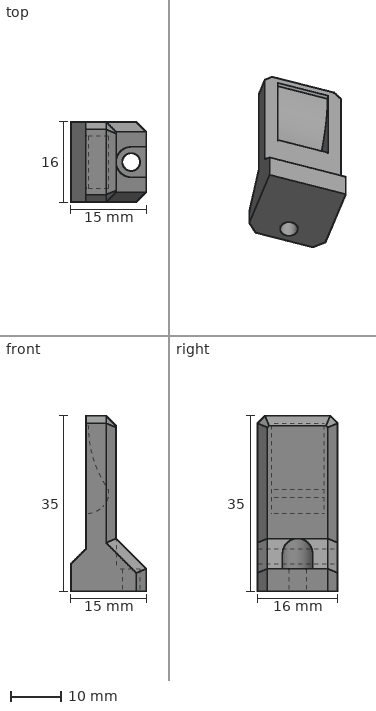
import cadquery as cq
import math

length = 15.0
width = 16.0
height = 35.0

stem_front = 3.0
stem_back = 9.0
base_front_height = 5.5
base_back_height = 4.5
front_shoulder_height = base_front_height + stem_front
back_shoulder_height = base_back_height + length - stem_back

top_corner_chamfer = 1.5
back_chamfer = 2.0

pocket_width = 10.5
pocket_depth = 4.4
pocket_top = 33.5
pocket_bottom = 15.55
lip_depth = 0.42
lip_bottom = 33.0
pocket_floor_top = 20.3
pocket_floor_bottom = 18.8

screw_x = 12.0
screw_diameter = 3.5
seat_radius = 3.0

edge_margin = 0.05


def make_body():
    """Extruded side profile with chamfered top corners."""
    profile = [
        (0, 0),
        (length, 0),
        (length, base_back_height),
        (stem_back, back_shoulder_height),
        (stem_back, height),
        (stem_front, height),
        (stem_front, front_shoulder_height),
        (0, base_front_height),
    ]
    body = cq.Workplane("XZ").polyline(profile).close().extrude(width / 2, both=True)
    return body.faces(">Z").edges("|X").chamfer(top_corner_chamfer)


def chamfer_back(body):
    """Chamfer the sides of the back outline and the top back edge."""
    x_min = stem_back - edge_margin
    x_max = length + edge_margin
    z_max = height + edge_margin
    y_inner = width / 2 - top_corner_chamfer
    y_outer = width / 2 + edge_margin
    left_edges = cq.selectors.BoxSelector((x_min, y_inner, edge_margin), (x_max, y_outer, z_max))
    right_edges = cq.selectors.BoxSelector((x_min, -y_outer, edge_margin), (x_max, -y_inner, z_max))
    top_edge = cq.selectors.BoxSelector(
        (x_min, -edge_margin, height - edge_margin), (stem_back + edge_margin, edge_margin, z_max)
    )
    return body.edges(left_edges + right_edges + top_edge).chamfer(back_chamfer)


def arc_middle(start, end, direction):
    """Midpoint of the arc from start to end that leaves start along a unit direction."""
    chord_x = end[0] - start[0]
    chord_z = end[1] - start[1]
    chord = math.hypot(chord_x, chord_z)
    half_turn = math.atan2(direction[0] * chord_z - direction[1] * chord_x,
                           direction[0] * chord_x + direction[1] * chord_z)
    rise = chord / 2 * math.tan(half_turn / 2)
    middle_x = (start[0] + end[0]) / 2 + rise * chord_z / chord
    middle_z = (start[1] + end[1]) / 2 - rise * chord_x / chord
    return middle_x, middle_z


def make_pocket():
    """Pocket with a sloped lip, a long upper curve, a flat floor and a scooped bottom."""
    floor_x = stem_front + pocket_depth
    lip_end = (stem_front + lip_depth, lip_bottom)
    floor_top = (floor_x, pocket_floor_top)
    floor_bottom = (floor_x, pocket_floor_bottom)
    mouth_bottom = (stem_front, pocket_bottom)
    upper_middle = arc_middle(lip_end, floor_top, (0, -1))
    scoop_middle = arc_middle(mouth_bottom, floor_bottom, (1, 0))
    return (
        cq.Workplane("XZ")
        .moveTo(stem_front, pocket_top)
        .lineTo(*lip_end)
        .threePointArc(upper_middle, floor_top)
        .lineTo(*floor_bottom)
        .threePointArc(scoop_middle, mouth_bottom)
        .close()
        .extrude(pocket_width / 2, both=True)
    )


def make_screw_cut():
    """Through hole plus the U-shaped clearance above its seat."""
    hole = cq.Workplane("XY").center(screw_x, 0).circle(screw_diameter / 2).extrude(height)
    clearance_height = back_shoulder_height - base_back_height
    seat = cq.Workplane("XY", origin=(screw_x, 0, base_back_height))
    round_end = seat.circle(seat_radius).extrude(clearance_height)
    open_length = length - screw_x
    open_end = seat.center(open_length / 2, 0).rect(open_length, 2 * seat_radius).extrude(clearance_height)
    return hole.union(round_end).union(open_end)


result = chamfer_back(make_body()).cut(make_pocket()).cut(make_screw_cut())